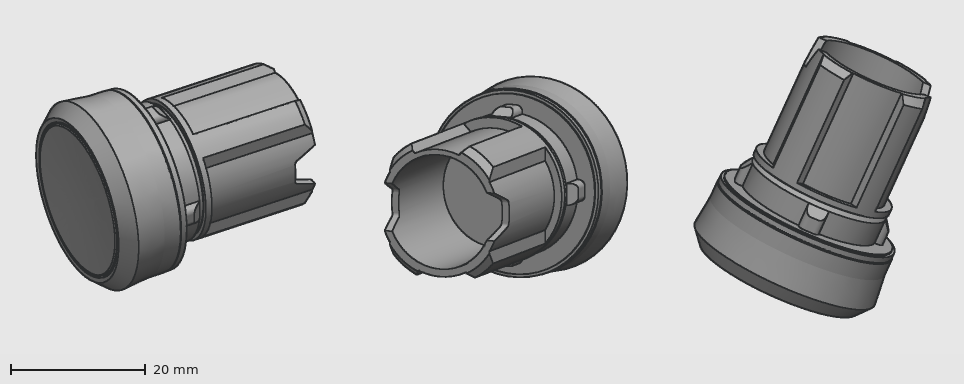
import cadquery as cq
import math


LENGTH = 35.3
BEZEL_DIAMETER = 29.48

RIM_RADIUS = 12.8
BEZEL_CHAMFER_END = 2.33
BEZEL_TAPER_END = 7.02
BEZEL_BACK_RADIUS = 14.23
BEZEL_BACK = 9.7
SEAL_GROOVE_WIDTH = 0.18
SEAL_GROOVE_RADIUS = 13.65
SEAL_RADIUS = 14.15
SEAL_BACK = 10.8
PLATE_RADIUS = 13.65
PLATE_BACK = 11.05

NECK_RADIUS = 10.87
NECK_CYLINDER_END = 14.83
NECK_END_RADIUS = 10.38
UNDERCUT_WIDTH = 0.1
TAB_REACH = 12.05
TAB_WIDTH = 3.3
TAB_EDGE_RADIUS = 1.0
TAB_SLOPE_START = 13.25
TAB_COUNT = 4

FLANGE_FRONT = 15.75
FLANGE_BACK = 16.75
LOBE_RADIUS = 11.05
LOBE_CHAMFER_LENGTH = 1.27
LOBE_CHAMFER_DEPTH = 1.05
CORE_RADIUS = 9.8
TOP_FLOOR_RADIUS = 9.45
SIDE_FLAT = 8.3
V_APEX_X = 0.65
V_APEX_Z = 5.1

NOTCH_DEPTH = 3.67
NOTCH_MOUTH_WIDTH = 7.25
NOTCH_FLOOR_WIDTH = 3.9
NOTCH_CORNER_RADIUS = 0.6

BORE_RADIUS = 8.65

RECESS_RADIUS = 12.1
RECESS_CONE_DEPTH = 0.15
RECESS_DEPTH = 0.3
SEAT_DEPTH = 1.4
BUTTON_RADIUS = 11.83
BUTTON_ROUNDING = 0.2
BUTTON_RIM = 0.0
DISH_DEPTH = 0.55


def axial_block(outline, start, end):
    """Extrude a closed XZ outline along Y from start to end."""
    return cq.Workplane("XZ", origin=(0, start, 0)).polyline(outline).close().extrude(start - end)


def axial_cylinder(radius, start, end):
    return cq.Workplane("XZ", origin=(0, start, 0)).circle(radius).extrude(start - end)


def turned_body():
    """Bezel, plates, neck, flange and stem blank as one revolved profile."""
    profile = [
        (0, SEAT_DEPTH),
        (BUTTON_RADIUS, SEAT_DEPTH),
        (BUTTON_RADIUS, RECESS_DEPTH),
        (RECESS_RADIUS, RECESS_DEPTH),
        (RECESS_RADIUS, RECESS_CONE_DEPTH),
        (RIM_RADIUS, 0),
        (BEZEL_DIAMETER / 2, BEZEL_CHAMFER_END),
        (BEZEL_BACK_RADIUS, BEZEL_TAPER_END),
        (BEZEL_BACK_RADIUS, BEZEL_BACK),
        (SEAL_GROOVE_RADIUS, BEZEL_BACK),
        (SEAL_GROOVE_RADIUS, BEZEL_BACK + SEAL_GROOVE_WIDTH),
        (SEAL_RADIUS, BEZEL_BACK + SEAL_GROOVE_WIDTH),
        (SEAL_RADIUS, SEAL_BACK),
        (PLATE_RADIUS, SEAL_BACK),
        (PLATE_RADIUS, PLATE_BACK),
        (NECK_RADIUS, PLATE_BACK),
        (NECK_RADIUS, NECK_CYLINDER_END),
        (NECK_END_RADIUS, FLANGE_FRONT - UNDERCUT_WIDTH),
        (NECK_END_RADIUS, FLANGE_FRONT),
        (LOBE_RADIUS, FLANGE_FRONT),
        (LOBE_RADIUS, LENGTH - LOBE_CHAMFER_LENGTH),
        (LOBE_RADIUS - LOBE_CHAMFER_DEPTH, LENGTH),
        (0, LENGTH),
    ]
    return cq.Workplane("ZY").polyline(profile).close().revolve(360, (0, 0), (0, 1))


def locating_tab():
    """Tab on the +Z side of the neck, with rounded long edges and a sloped back end."""
    block = (
        axial_block(
            [(-TAB_WIDTH / 2, 0), (TAB_WIDTH / 2, 0), (TAB_WIDTH / 2, TAB_REACH), (-TAB_WIDTH / 2, TAB_REACH)],
            PLATE_BACK,
            NECK_CYLINDER_END,
        )
        .edges("|Y and >Z")
        .fillet(TAB_EDGE_RADIUS)
    )
    slope = (
        cq.Workplane("YZ")
        .polyline([
            (TAB_SLOPE_START, TAB_REACH),
            (NECK_CYLINDER_END, TAB_REACH),
            (NECK_CYLINDER_END, NECK_RADIUS),
        ])
        .close()
        .extrude(TAB_WIDTH, both=True)
    )
    return block.cut(slope)


def groove(outline, floor_radius):
    """Cutter for one stem groove: a block that leaves a round floor standing."""
    block = axial_block(outline, FLANGE_BACK, LENGTH)
    return block.cut(axial_cylinder(floor_radius, FLANGE_BACK, LENGTH))


def side_groove():
    """Groove on the +X side, with both walls in one plane."""
    return groove(
        [
            (SIDE_FLAT, -LOBE_RADIUS),
            (LOBE_RADIUS, -LOBE_RADIUS),
            (LOBE_RADIUS, LOBE_RADIUS),
            (SIDE_FLAT, LOBE_RADIUS),
        ],
        CORE_RADIUS,
    )


def v_groove(floor_radius):
    """Groove on the +Z side, with walls at 45 degrees."""
    rise = LOBE_RADIUS - V_APEX_Z
    return groove(
        [(V_APEX_X, V_APEX_Z), (V_APEX_X + rise, LOBE_RADIUS), (V_APEX_X - rise, LOBE_RADIUS)],
        floor_radius,
    )


def end_notch():
    """Tapered notch through the stem end along X, with rounded floor corners."""
    floor = LENGTH - NOTCH_DEPTH
    return (
        cq.Workplane("YZ")
        .polyline([
            (LENGTH, -NOTCH_MOUTH_WIDTH / 2),
            (floor, -NOTCH_FLOOR_WIDTH / 2),
            (floor, NOTCH_FLOOR_WIDTH / 2),
            (LENGTH, NOTCH_MOUTH_WIDTH / 2),
        ])
        .close()
        .extrude(LOBE_RADIUS, both=True)
        .edges("|X and <Y")
        .fillet(NOTCH_CORNER_RADIUS)
    )


def turn(shape, angle):
    """Rotate a shape about the Y axis."""
    return shape.rotate((0, 0, 0), (0, 1, 0), angle)


def make_housing():
    housing = turned_body()
    for index in range(TAB_COUNT):
        housing = housing.union(turn(locating_tab(), index * 360 / TAB_COUNT))
    for angle in (0, 180):
        housing = housing.cut(turn(side_groove(), angle))
    housing = housing.cut(v_groove(TOP_FLOOR_RADIUS))
    housing = housing.cut(turn(v_groove(CORE_RADIUS), 180))
    housing = housing.cut(axial_cylinder(BORE_RADIUS, FLANGE_BACK, LENGTH))
    return housing.cut(end_notch())


def make_button():
    """Disc with a dished face, resting on the floor of the bezel recess."""
    rim_radius = BUTTON_RADIUS - BUTTON_ROUNDING
    sphere_radius = (rim_radius**2 + DISH_DEPTH**2) / (2 * DISH_DEPTH)
    sphere_center = BUTTON_RIM + DISH_DEPTH - sphere_radius
    half_way = rim_radius / 2
    dish_middle = (half_way, sphere_center + math.sqrt(sphere_radius**2 - half_way**2))
    return (
        cq.Workplane("XY")
        .moveTo(0, SEAT_DEPTH)
        .lineTo(BUTTON_RADIUS, SEAT_DEPTH)
        .lineTo(BUTTON_RADIUS, BUTTON_RIM + BUTTON_ROUNDING)
        .radiusArc((rim_radius, BUTTON_RIM), -BUTTON_ROUNDING)
        .threePointArc(dish_middle, (0, BUTTON_RIM + DISH_DEPTH))
        .close()
        .revolve(360, (0, 0), (0, 1))
    )


housing = make_housing()
button = make_button()
result = cq.Compound.makeCompound([housing.val(), button.val()])